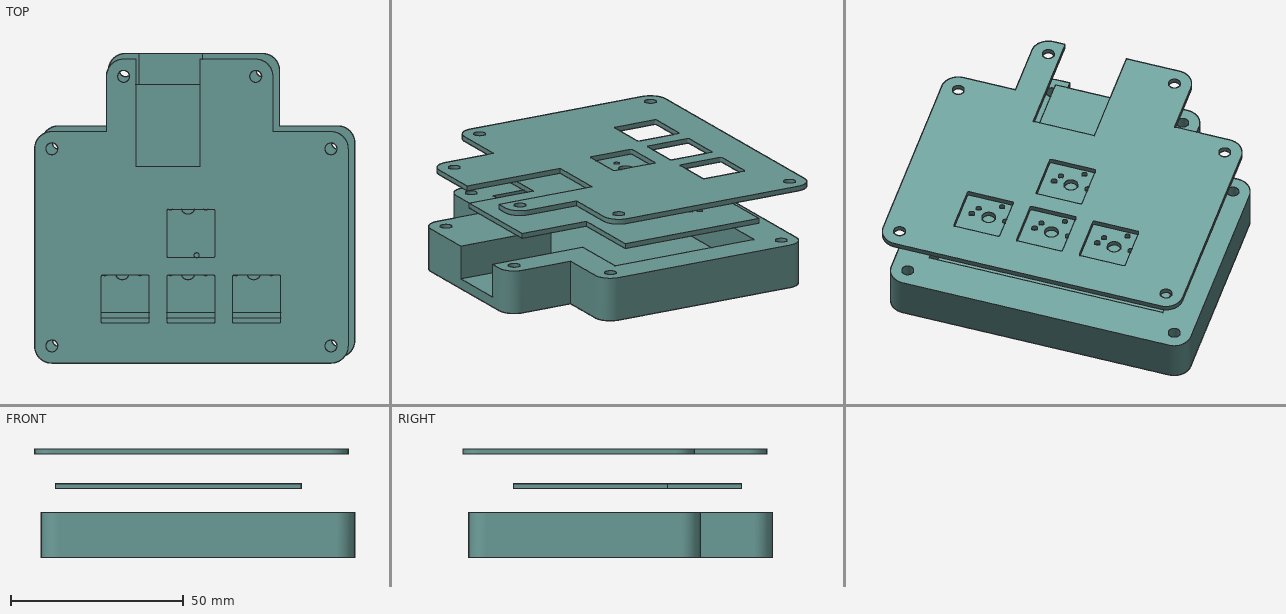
import cadquery as cq
BODY_WIDTH = 90.9
BODY_DEPTH = 67.1
TOTAL_DEPTH = 88.1
HEAD_RIGHT = 69.05
CORNER_RADIUS = 5.0
SCREW_INSET = 5.0
SCREW_HOLE_DIAMETER = 3.4

PLATE_HEAD_LEFT = 20.8
PLATE_THICKNESS = 1.5
PLATE_BOTTOM = 30.0
PLATE_SLOT_LEFT = 29.3
PLATE_SLOT_WIDTH = 18.6
PLATE_SLOT_FRONT = 57.0

KEY_CELLS = [(0, 0), (1, 0), (2, 0), (1, 1)]
KEY_PITCH = 19.0
KEY_WINDOW = 13.9
KEY_WINDOW_RADIUS = 0.45
FIRST_WINDOW_CENTER = (26.3, 18.6)

CASE_SHIFT_X = 1.95
CASE_SHIFT_Y = 1.7
CASE_HEIGHT = 13.1
CASE_HEAD_LEFT = 19.4
CASE_FLOOR = 3.1
POCKET_LEFT = 9.5
POCKET_RIGHT = 80.4
POCKET_FRONT = 11.5
POCKET_BACK = 57.9
NOTCH_LEFT = 28.3
NOTCH_WIDTH = 18.4

BOARD_LEFT = 6.0
BOARD_RIGHT = 77.3
BOARD_FRONT = 14.7
BOARD_SHOULDER = 59.3
BOARD_BACK = 80.7
BOARD_HEAD_LEFT = 28.7
BOARD_HEAD_RIGHT = 59.4
BOARD_BOTTOM = 20.0
BOARD_THICKNESS = 1.5

FIRST_SWITCH_CENTER = (25.4, 26.2)
STEM_DIAMETER = 4.0
POST_DIAMETER = 1.7
POST_OFFSET = 5.1
PIN_DIAMETER = 1.5
STEM_PLACES = [(0, 0)]
POST_PLACES = [(-POST_OFFSET, 0), (POST_OFFSET, 0)]
PIN_PLACES = [(2.5, 5.1), (-3.8, 2.5)]


def block(left, right, front, back, bottom, top):
    """A box given by the places of its six sides."""
    box = cq.Workplane("XY").box(right - left, back - front, top - bottom, centered=False)
    return box.translate((left, front, bottom))


def key_centers(first_center):
    """The centers of all keys, given the center of the front left one."""
    first_x, first_y = first_center
    return [(first_x + column * KEY_PITCH, first_y + row * KEY_PITCH) for column, row in KEY_CELLS]


def stepped_slab(head_left, height):
    """A slab with the shared outline, rounded outer corners and a screw hole near each of them."""
    outline = [
        (0, 0),
        (BODY_WIDTH, 0),
        (BODY_WIDTH, BODY_DEPTH),
        (HEAD_RIGHT, BODY_DEPTH),
        (HEAD_RIGHT, TOTAL_DEPTH),
        (head_left, TOTAL_DEPTH),
        (head_left, BODY_DEPTH),
        (0, BODY_DEPTH),
    ]
    outer_corners = [
        (0, 0),
        (BODY_WIDTH, 0),
        (BODY_WIDTH, BODY_DEPTH),
        (HEAD_RIGHT, TOTAL_DEPTH),
        (head_left, TOTAL_DEPTH),
        (0, BODY_DEPTH),
    ]
    slab = cq.Workplane("XY").polyline(outline).close().extrude(height)
    for x, y in outer_corners:
        corner_edge = cq.selectors.NearestToPointSelector((x, y, height / 2))
        slab = slab.edges(corner_edge).fillet(CORNER_RADIUS)

    left_screw = SCREW_INSET
    right_screw = BODY_WIDTH - SCREW_INSET
    body_back_screw = BODY_DEPTH - SCREW_INSET
    head_back_screw = TOTAL_DEPTH - SCREW_INSET
    screw_places = [
        (left_screw, SCREW_INSET),
        (right_screw, SCREW_INSET),
        (left_screw, body_back_screw),
        (right_screw, body_back_screw),
        (head_left + SCREW_INSET, head_back_screw),
        (HEAD_RIGHT - SCREW_INSET, head_back_screw),
    ]
    screw_holes = cq.Workplane("XY").pushPoints(screw_places).circle(SCREW_HOLE_DIAMETER / 2).extrude(height)
    return slab.cut(screw_holes)


def make_plate():
    """The top plate, with a slot open to the back and a square window for each key."""
    slot_right = PLATE_SLOT_LEFT + PLATE_SLOT_WIDTH
    slot = block(PLATE_SLOT_LEFT, slot_right, PLATE_SLOT_FRONT, TOTAL_DEPTH, 0, PLATE_THICKNESS)
    windows = (
        cq.Workplane("XY")
        .pushPoints(key_centers(FIRST_WINDOW_CENTER))
        .rect(KEY_WINDOW, KEY_WINDOW)
        .extrude(PLATE_THICKNESS)
        .edges("|Z")
        .fillet(KEY_WINDOW_RADIUS)
    )
    plate = stepped_slab(PLATE_HEAD_LEFT, PLATE_THICKNESS).cut(slot).cut(windows)
    return plate.translate((0, 0, PLATE_BOTTOM))


def switch_holes(places, diameter):
    """Cutters for one kind of hole, at its places in every key switch."""
    centers = [
        (x + offset_x, y + offset_y)
        for x, y in key_centers(FIRST_SWITCH_CENTER)
        for offset_x, offset_y in places
    ]
    return cq.Workplane("XY").pushPoints(centers).circle(diameter / 2).extrude(BOARD_THICKNESS)


def make_board():
    """The circuit board, with a narrower head and the holes of the key switches."""
    outline = [
        (BOARD_LEFT, BOARD_FRONT),
        (BOARD_RIGHT, BOARD_FRONT),
        (BOARD_RIGHT, BOARD_SHOULDER),
        (BOARD_HEAD_RIGHT, BOARD_SHOULDER),
        (BOARD_HEAD_RIGHT, BOARD_BACK),
        (BOARD_HEAD_LEFT, BOARD_BACK),
        (BOARD_HEAD_LEFT, BOARD_SHOULDER),
        (BOARD_LEFT, BOARD_SHOULDER),
    ]
    board = cq.Workplane("XY").polyline(outline).close().extrude(BOARD_THICKNESS)
    board = board.cut(switch_holes(STEM_PLACES, STEM_DIAMETER))
    board = board.cut(switch_holes(POST_PLACES, POST_DIAMETER))
    board = board.cut(switch_holes(PIN_PLACES, PIN_DIAMETER))
    return board.translate((0, 0, BOARD_BOTTOM))


def make_case():
    """The case, with a pocket open at the top and a notch from the pocket through the back wall."""
    pocket = block(POCKET_LEFT, POCKET_RIGHT, POCKET_FRONT, POCKET_BACK, CASE_FLOOR, CASE_HEIGHT)
    notch_right = NOTCH_LEFT + NOTCH_WIDTH
    notch = block(NOTCH_LEFT, notch_right, POCKET_FRONT, TOTAL_DEPTH, CASE_FLOOR, CASE_HEIGHT)
    case = stepped_slab(CASE_HEAD_LEFT, CASE_HEIGHT).cut(pocket).cut(notch)
    return case.translate((CASE_SHIFT_X, CASE_SHIFT_Y, 0))


plate = make_plate()
board = make_board()
case = make_case()

result = cq.Compound.makeCompound([plate.val(), board.val(), case.val()])